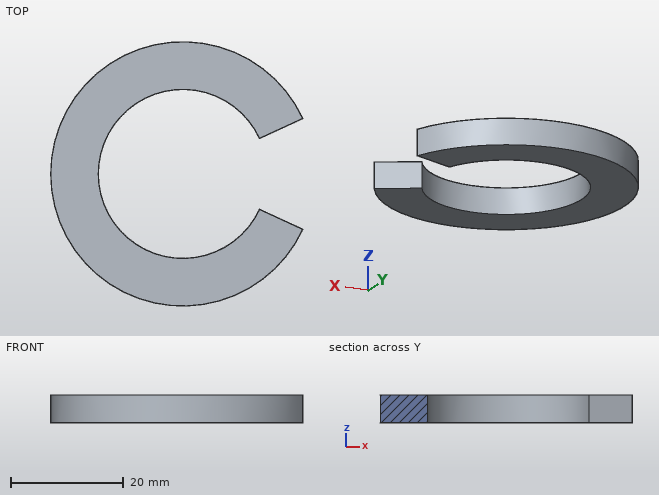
import cadquery as cq
import math

outer_radius = 23.5
inner_radius = 15.0
thickness = 5.0
half_gap_angle = 24.75


def polar_point(radius, angle_degrees):
    """Point at a given radius and angle from +X, measured about the ring axis."""
    angle = math.radians(angle_degrees)
    return (radius * math.cos(angle), radius * math.sin(angle))


def open_ring():
    """Flat C-shaped ring with radial end faces and its gap centred on +X."""
    return (
        cq.Workplane("XY")
        .moveTo(*polar_point(outer_radius, half_gap_angle))
        .threePointArc((-outer_radius, 0), polar_point(outer_radius, -half_gap_angle))
        .lineTo(*polar_point(inner_radius, -half_gap_angle))
        .threePointArc((-inner_radius, 0), polar_point(inner_radius, half_gap_angle))
        .close()
        .extrude(thickness)
    )


result = open_ring()